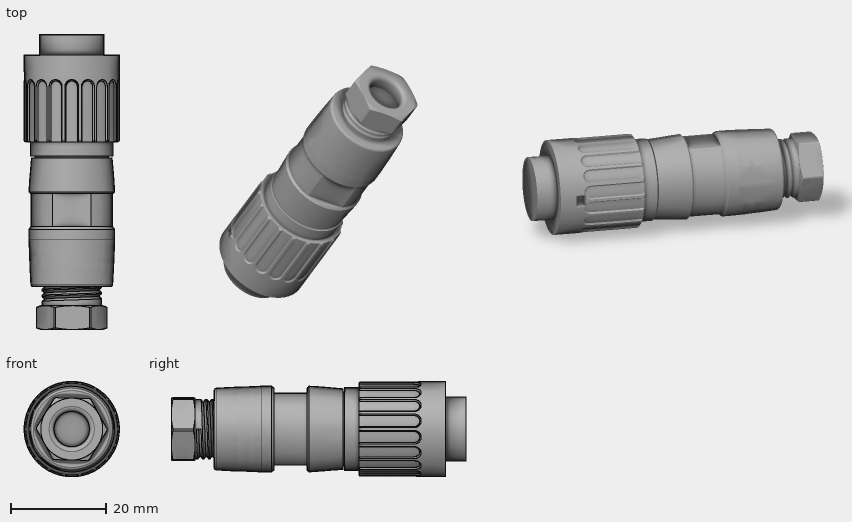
import cadquery as cq
import math


plug_dia = 13.5
plug_end = 4.3
sleeve_dia = 20.0
sleeve_end = 22.5
sleeve_edge_radius = 0.4
collar_dia = 17.4
collar_end = 25.5
groove_dia = 15.5
groove_end = 25.85
barrel_start_dia = 16.9
barrel_dia = 17.1
barrel_max_dia = 18.0
barrel_flare_end = 33.0
barrel_lip_end = 33.4
nut_start = 40.3
nut_chamfer_end = 40.9
nut_taper_start = 43.0
nut_end = 52.9
nut_edge_radius = 0.5
bulge = 0.05

flat_distance = 15.1

grip_count = 18
grip_width = 3.1
grip_start = 9.45
grip_depth = 0.35
grip_cutter_depth = 0.55
grip_wall_angle = 40.0
grip_overrun = 1.0

window_start = 7.7
window_length = 2.05
window_width = 2.6

thread_dia = 12.5
thread_root_dia = 11.3
thread_pitch = 1.27
thread_half_angle = 40.0
thread_runout = 56.15
thread_clearance = 0.1
thread_overlap = 0.5

hex_start = 56.9
hex_end = 61.9
hex_across_flats = 13.0
hex_corner_dia = 14.8
hex_turn = 1.4
hex_chamfer_angle = 21.0
bore_dia = 7.6
bore_floor_dia = 7.4
bore_depth = 3.0
bore_round = 0.95


def cylinder(diameter, start, end):
    """Cylinder on the Y axis between two distances from the mating face."""
    return cq.Workplane("XZ", origin=(0, -start, 0)).circle(diameter / 2).extrude(end - start)


def tapered_edge(profile, start, end, start_dia, end_dia):
    """Extend a profile by a slightly bowed edge to the far end of a taper."""
    middle = ((start_dia + end_dia) / 4 + bulge, -(start + end) / 2)
    return profile.threePointArc(middle, (end_dia / 2, -end))


def revolve(profile):
    return profile.close().revolve(360, (0, 0, 0), (0, 1, 0))


def make_sleeve():
    sleeve = cylinder(sleeve_dia, plug_end, sleeve_end).faces("<Y").edges().fillet(sleeve_edge_radius)
    return sleeve.cut(make_grip_recesses()).cut(make_window())


def make_grip_recesses():
    """Ring of shallow arched recesses with sloping walls and a cylindrical floor."""
    half = grip_width / 2
    arch_center = grip_start + half
    rear = sleeve_end + grip_overrun
    cutter = (
        cq.Workplane("XY", origin=(0, 0, sleeve_dia / 2))
        .moveTo(-half, -rear)
        .lineTo(-half, -arch_center)
        .threePointArc((0, -grip_start), (half, -arch_center))
        .lineTo(half, -rear)
        .close()
        .extrude(-grip_cutter_depth, taper=grip_wall_angle)
        .cut(cylinder(sleeve_dia - 2 * grip_depth, 0, rear))
    )
    recesses = cq.Workplane("XY")
    for index in range(grip_count):
        recesses = recesses.add(cutter.rotate((0, 0, 0), (0, 1, 0), index * 360 / grip_count))
    return recesses.combine()


def make_window():
    """Rectangular opening on the -X side that reaches down to the plug."""
    block = cq.Workplane("XY").box(sleeve_dia, window_length, window_width)
    block = block.translate((-sleeve_dia / 2, -window_start - window_length / 2, 0))
    return block.cut(cylinder(plug_dia, 0, sleeve_end))


def make_barrel():
    profile = cq.Workplane("XY").moveTo(0, -groove_end).lineTo(barrel_start_dia / 2, -groove_end)
    profile = tapered_edge(profile, groove_end, barrel_flare_end, barrel_start_dia, barrel_max_dia)
    profile = profile.lineTo(barrel_dia / 2, -barrel_lip_end).lineTo(0, -barrel_lip_end)
    return revolve(profile)


def make_flatted_section():
    length = nut_start - barrel_lip_end
    middle = (barrel_lip_end + nut_start) / 2
    slab = cq.Workplane("XY").box(barrel_dia, length, flat_distance).translate((0, -middle, 0))
    return cylinder(barrel_dia, barrel_lip_end, nut_start).intersect(slab)


def make_nut():
    profile = (
        cq.Workplane("XY")
        .moveTo(0, -nut_start)
        .lineTo(barrel_dia / 2, -nut_start)
        .lineTo(barrel_max_dia / 2, -nut_chamfer_end)
        .lineTo(barrel_max_dia / 2, -nut_taper_start)
    )
    profile = tapered_edge(profile, nut_taper_start, nut_end, barrel_max_dia, barrel_dia)
    profile = profile.lineTo(0, -nut_end)
    return revolve(profile).faces("<Y").edges().fillet(nut_edge_radius)


def make_threaded_stem():
    """Stem with a right-handed V groove that begins at the +X side near the hexagon."""
    root = thread_root_dia / 2
    mouth = thread_dia / 2 + thread_clearance
    half_mouth = (mouth - root) * math.tan(math.radians(thread_half_angle))
    length = thread_runout - nut_end + thread_overlap
    helix = cq.Wire.makeHelix(thread_pitch, length, root)
    groove = (
        cq.Workplane("XZ")
        .polyline([(root, 0), (mouth, half_mouth), (mouth, -half_mouth)])
        .close()
        .sweep(cq.Workplane(helix), isFrenet=True)
        .rotate((0, 0, 0), (1, 0, 0), -90)
        .translate((0, -thread_runout, 0))
    )
    return cylinder(thread_dia, nut_end - thread_overlap, hex_start).cut(groove)


def make_hexagon():
    length = hex_end - hex_start
    corner_radius = hex_corner_dia / 2
    face_radius = hex_across_flats / 2
    chamfer_length = (corner_radius - face_radius) * math.tan(math.radians(hex_chamfer_angle))
    prism = (
        cq.Workplane("XZ", origin=(0, -hex_start, 0))
        .polygon(6, hex_across_flats / math.cos(math.pi / 6))
        .extrude(length)
        .rotate((0, 0, 0), (0, 1, 0), hex_turn)
    )
    envelope = cylinder(hex_corner_dia, hex_start, hex_end)
    envelope = envelope.faces("<Y or >Y").chamfer(chamfer_length, corner_radius - face_radius)
    return prism.intersect(envelope)


def make_bore():
    """Slightly tapered blind cable entry with a rounded mouth."""
    bore_radius = bore_dia / 2
    mouth_radius = bore_radius + bore_round
    bend = bore_round * (1 - math.sqrt(0.5))
    profile = (
        cq.Workplane("XY")
        .moveTo(0, -hex_end)
        .lineTo(mouth_radius, -hex_end)
        .threePointArc((bore_radius + bend, bend - hex_end), (bore_radius, bore_round - hex_end))
        .lineTo(bore_floor_dia / 2, bore_depth - hex_end)
        .lineTo(0, bore_depth - hex_end)
    )
    return revolve(profile)


result = (
    cylinder(plug_dia, 0, sleeve_end)
    .union(make_sleeve())
    .union(cylinder(collar_dia, sleeve_end, collar_end))
    .union(cylinder(groove_dia, collar_end, groove_end))
    .union(make_barrel())
    .union(make_flatted_section())
    .union(make_nut())
    .union(make_threaded_stem())
    .union(make_hexagon())
    .cut(make_bore())
)